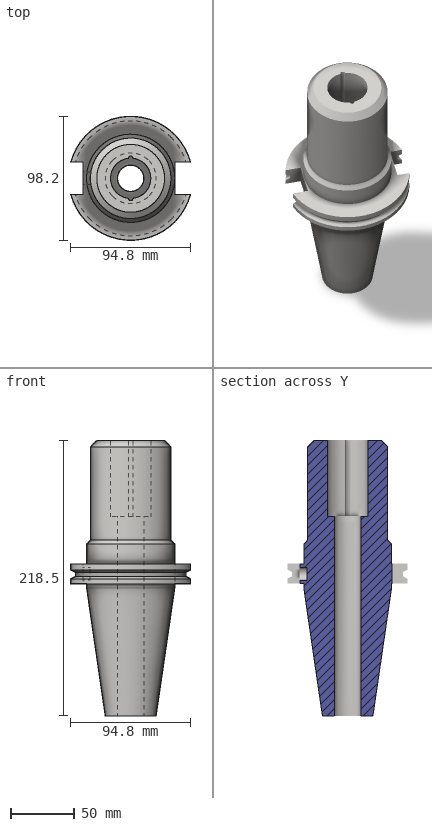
import cadquery as cq

total_height = 218.5
taper_length = 101.5
gauge_land_height = 3.3
flange_thickness = 15.7
collar_height = 15.7
collar_chamfer_height = 3.3

taper_ratio = 7 / 24
collar_radius = 35.0
body_radius = 32.0
flange_radius = 49.1
top_chamfer = 5.0

upper_rim_height = 4.8
lower_rim_height = 4.0
groove_floor_radius = 45.7
upper_slope_height = 1.7
lower_slope_height = 2.0

slot_width = 25.5
left_slot_floor = 37.8
right_slot_floor = 35.2

slot_hole_diameter = 9.8
slot_hole_depth = 5.5

bore_diameter = 32.0
bore_depth = 60.0
through_diameter = 20.8
relief_diameter = 3.5

small_end_radius = collar_radius - taper_length * taper_ratio / 2
flange_bottom = taper_length + gauge_land_height
flange_top = flange_bottom + flange_thickness
flange_middle = (flange_bottom + flange_top) / 2
collar_top = flange_top + collar_height
body_bottom = collar_top + collar_chamfer_height
groove_bottom = flange_bottom + lower_rim_height
groove_top = flange_top - upper_rim_height


def make_holder_body():
    """Revolve the half profile of the taper, flange, collar and body."""
    profile = [
        (0, 0),
        (small_end_radius, 0),
        (collar_radius, taper_length),
        (collar_radius, flange_bottom),
        (flange_radius, flange_bottom),
        (flange_radius, groove_bottom),
        (groove_floor_radius, groove_bottom + lower_slope_height),
        (groove_floor_radius, groove_top - upper_slope_height),
        (flange_radius, groove_top),
        (flange_radius, flange_top),
        (collar_radius, flange_top),
        (collar_radius, collar_top),
        (body_radius, body_bottom),
        (body_radius, total_height - top_chamfer),
        (body_radius - top_chamfer, total_height),
        (0, total_height),
    ]
    return cq.Workplane("XZ").polyline(profile).close().revolve(360, (0, 0), (0, 1))


def make_drive_slot(floor_distance, side):
    """Box that opens the flange outwards from the slot floor; side is -1 or +1 along X."""
    length = flange_radius
    return cq.Workplane("XY").box(length, slot_width, flange_thickness).translate(
        (side * (floor_distance + length / 2), 0, flange_middle)
    )


def make_slot_hole():
    """Cylinder running in +X from the floor of the left slot."""
    return (
        cq.Workplane("YZ", origin=(-left_slot_floor, 0, flange_middle))
        .circle(slot_hole_diameter / 2)
        .extrude(slot_hole_depth)
    )


def make_tool_bore():
    """Stepped bore with relief grooves centred on its wall at +Y and -Y."""
    bore_floor = cq.Workplane("XY", origin=(0, 0, total_height - bore_depth))
    bore = bore_floor.circle(bore_diameter / 2).extrude(bore_depth)
    for side in (-1, 1):
        relief = bore_floor.center(0, side * bore_diameter / 2).circle(relief_diameter / 2)
        bore = bore.union(relief.extrude(bore_depth))
    through_hole = cq.Workplane("XY").circle(through_diameter / 2).extrude(total_height)
    return bore.union(through_hole)


result = (
    make_holder_body()
    .cut(make_drive_slot(left_slot_floor, -1))
    .cut(make_drive_slot(right_slot_floor, 1))
    .cut(make_slot_hole())
    .cut(make_tool_bore())
)